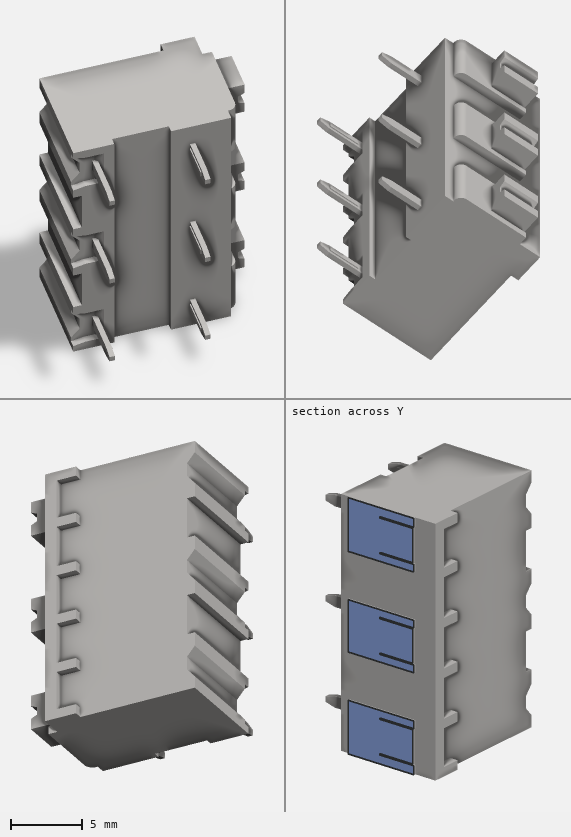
import cadquery as cq


height = 19.44
pitch = 7.62
pole_count = 3
pole_centers = [height / 2 + (i - (pole_count - 1) / 2) * pitch for i in range(pole_count)]
gap_centers = [(low + high) / 2 for low, high in zip(pole_centers, pole_centers[1:])]

housing_length = 8.4
housing_depth = 11.53
flange_thickness = 0.65
flange_start_y = 9.05
flange_bar_y = 10.6
tooth_width = 0.72
window_width = pitch / 2 - tooth_width

groove_depth = 0.62
groove_mouth_width = 2.41
groove_floor_width = 0.97

recess_depth = 0.5
recess_floor_x = housing_length - recess_depth
channel_start_y = 3.0
channel_end_y = 7.13
pocket_mouth_width = 3.13
pocket_width = 2.78
pocket_taper_depth = 0.9

pin_tip_x = 11.9
pin_width = 0.85
pin_thickness = 0.39
pin_tip_width = 0.4
pin_tip_length = 0.84
pin_start_x = 7.0
front_pin_y = 1.73
pin_row_spacing = 6.98
rear_pin_y = front_pin_y + pin_row_spacing
pad_width = 0.39
pad_thickness = 0.08
pad_gap = 0.17

boss_start_x = 1.79
boss_end_x = 7.65
boss_top_y = 12.23
boss_width = 4.0
boss_radius = 0.62
tab_start_x = 1.85
tab_length = 2.97
tab_top_y = 13.65
tab_width = 2.65
tab_notch_mouth_width = 1.01
tab_notch_floor_width = 0.58
tab_notch_depth = 0.49
slot_mouth_width = 3.03
slot_width = 2.76
slot_mouth_depth = 0.37


def box(x_range, y_range, z_range):
    """Axis-aligned block between three pairs of limits."""
    lengths = [high - low for low, high in (x_range, y_range, z_range)]
    corner = (x_range[0], y_range[0], z_range[0])
    return cq.Workplane("XY").box(*lengths, centered=False).translate(corner)


def span(center, width):
    """Lower and upper limit of a width about a center."""
    return center - width / 2, center + width / 2


def symmetric_prism(profile, center_z, x_range):
    """Extrude along X a YZ profile given as (y, width in Z) stations about center_z."""
    upper = [(y, center_z + width / 2) for y, width in profile]
    lower = [(y, center_z - width / 2) for y, width in reversed(profile)]
    plane = cq.Workplane("YZ", origin=(x_range[0], 0, 0))
    return plane.polyline(upper + lower).close().extrude(x_range[1] - x_range[0])


def housing_block():
    body = box((flange_thickness, housing_length), (0, housing_depth), (0, height))
    flange = box((0, flange_thickness), (flange_start_y, housing_depth), (0, height))
    for z in pole_centers + gap_centers:
        low, high = span(z, window_width)
        window_z = (max(low, tooth_width), min(high, height - tooth_width))
        flange = flange.cut(box((0, flange_thickness), (flange_start_y, flange_bar_y), window_z))
    return body.union(flange)


def boss(center_z):
    """Raised pad with one rounded edge and a slot with a flared mouth around the tab."""
    low, high = span(center_z, boss_width)
    if center_z == pole_centers[0]:
        low = 0
    if center_z == pole_centers[-1]:
        high = height
    block = box((boss_start_x, boss_end_x), (housing_depth, boss_top_y), (low, high))
    block = block.edges(">X and >Y").fillet(boss_radius)
    slot_profile = [
        (housing_depth, slot_width),
        (boss_top_y - slot_mouth_depth, slot_width),
        (boss_top_y, slot_mouth_width),
    ]
    return block.cut(symmetric_prism(slot_profile, center_z, (boss_start_x, tab_start_x + tab_length)))


def tab(center_z):
    """Upright tab with a V-shaped notch in its free end."""
    tab_x = (tab_start_x, tab_start_x + tab_length)
    plate = box(tab_x, (housing_depth, tab_top_y), span(center_z, tab_width))
    notch_profile = [
        (tab_top_y - tab_notch_depth, tab_notch_floor_width),
        (tab_top_y, tab_notch_mouth_width),
    ]
    return plate.cut(symmetric_prism(notch_profile, center_z, tab_x))


def groove(center_z):
    """Trapezoidal groove along X in the -Y face."""
    profile = [(0, groove_mouth_width), (groove_depth, groove_floor_width)]
    return symmetric_prism(profile, center_z, (0, housing_length))


def pin_pocket(center_z):
    """Pocket around the front pin: tapered mouth in the -Y face and a 45 degree ramp at its back."""
    ramp_end_y = front_pin_y + recess_depth
    profile = [
        (0, pocket_mouth_width),
        (pocket_taper_depth, pocket_width),
        (ramp_end_y, pocket_width),
    ]
    pocket = symmetric_prism(profile, center_z, (recess_floor_x, housing_length))
    ramp = (
        cq.Workplane("XY", origin=(0, 0, center_z - pocket_width / 2))
        .moveTo(recess_floor_x, front_pin_y)
        .lineTo(housing_length, ramp_end_y)
        .lineTo(recess_floor_x, ramp_end_y)
        .close()
        .extrude(pocket_width)
    )
    return pocket.cut(ramp)


def pin(center_y, center_z, pad_side):
    """Flat pin with a tapered tip and a thin pad on its pad_side (+1 or -1 along Y)."""
    shoulder_x = pin_tip_x - pin_tip_length
    outline = [
        (pin_start_x, center_z - pin_width / 2),
        (shoulder_x, center_z - pin_width / 2),
        (pin_tip_x, center_z - pin_tip_width / 2),
        (pin_tip_x, center_z + pin_tip_width / 2),
        (shoulder_x, center_z + pin_width / 2),
        (pin_start_x, center_z + pin_width / 2),
    ]
    plane = cq.Workplane("XZ", origin=(0, center_y, 0))
    blade = plane.polyline(outline).close().extrude(pin_thickness / 2, both=True)
    pad_center_y = center_y + pad_side * pin_thickness / 2
    pad_y = span(pad_center_y, 2 * pad_thickness)
    pad = box((housing_length + pad_gap, shoulder_x), pad_y, span(center_z, pad_width))
    return blade.union(pad)


result = housing_block()

channel_y = (channel_start_y, channel_end_y)
result = result.cut(box((recess_floor_x, housing_length), channel_y, (0, height)))

for z in gap_centers:
    result = result.cut(box((0, housing_length), (0, groove_depth), span(z, window_width)))

for z in pole_centers:
    result = result.cut(groove(z)).cut(pin_pocket(z))
    result = result.union(boss(z)).union(tab(z))
    result = result.union(pin(front_pin_y, z, 1)).union(pin(rear_pin_y, z, -1))